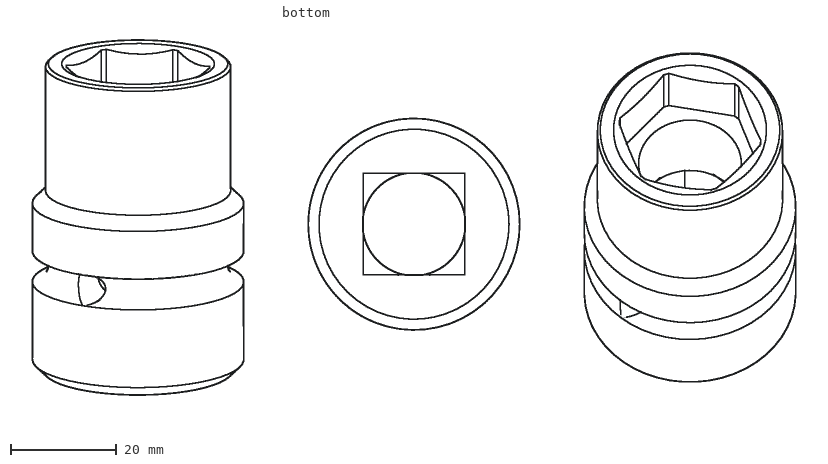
import cadquery as cq
import math

height = 60.0
body_radius = 20.01
nose_radius = 17.5
shoulder_top = 35.15
rim_chamfer = 0.55
base_chamfer = 2.05

pin_height = 20.3
pin_radius = 3.0

hex_across_flats = 24.0
hex_corner_radius = 13.55
hex_depth = 12.0
lead_in_radius = 14.45
lead_in_angle = 30.0

bore_radius = 9.7
drive_width = 19.2
drive_depth = height / 2


def make_body():
    """Stepped cylinder with a 45 degree shoulder and chamfered ends."""
    shoulder_bottom = shoulder_top - (body_radius - nose_radius)
    profile = [
        (0, 0),
        (body_radius - base_chamfer, 0),
        (body_radius, base_chamfer),
        (body_radius, shoulder_bottom),
        (nose_radius, shoulder_top),
        (nose_radius, height - rim_chamfer),
        (nose_radius - rim_chamfer, height),
        (0, height),
    ]
    return cq.Workplane("XZ").polyline(profile).close().revolve(360, (0, 0), (0, 1))


def make_groove():
    """Ring of round section, centred on the body surface."""
    section = cq.Workplane("XZ").center(body_radius, pin_height).circle(pin_radius)
    return section.revolve(360, (-body_radius, 0), (-body_radius, 1))


def make_pin_hole():
    """Cross hole along Y through both walls."""
    start = cq.Workplane("XZ").center(0, pin_height).circle(pin_radius)
    return start.extrude(body_radius, both=True)


def make_hex_socket():
    """Hexagon with corners on the Y axis, its corners rounded off by a cylinder."""
    floor = cq.Workplane("XY", origin=(0, 0, height - hex_depth))
    corner_diameter = hex_across_flats / math.cos(math.radians(30))
    hexagon = floor.polygon(6, corner_diameter).extrude(hex_depth)
    hexagon = hexagon.rotate((0, 0, 0), (0, 0, 1), 90)
    return hexagon.intersect(floor.circle(hex_corner_radius).extrude(hex_depth))


def make_lead_in():
    """Shallow cone that opens the mouth of the hexagon."""
    cone_depth = lead_in_radius * math.tan(math.radians(lead_in_angle))
    profile = [(0, height), (lead_in_radius, height), (0, height - cone_depth)]
    return cq.Workplane("XZ").polyline(profile).close().revolve(360, (0, 0), (0, 1))


def make_drive():
    """Square drive recess whose flats stand just inside the bore."""
    return cq.Workplane("XY").rect(drive_width, drive_width).extrude(drive_depth)


def make_bore():
    """Round bore from the drive recess up to the hexagon."""
    start = cq.Workplane("XY", origin=(0, 0, drive_depth))
    return start.circle(bore_radius).extrude(height - drive_depth)


result = make_body()
for cutter in (
    make_groove(),
    make_pin_hole(),
    make_hex_socket(),
    make_lead_in(),
    make_drive(),
    make_bore(),
):
    result = result.cut(cutter)